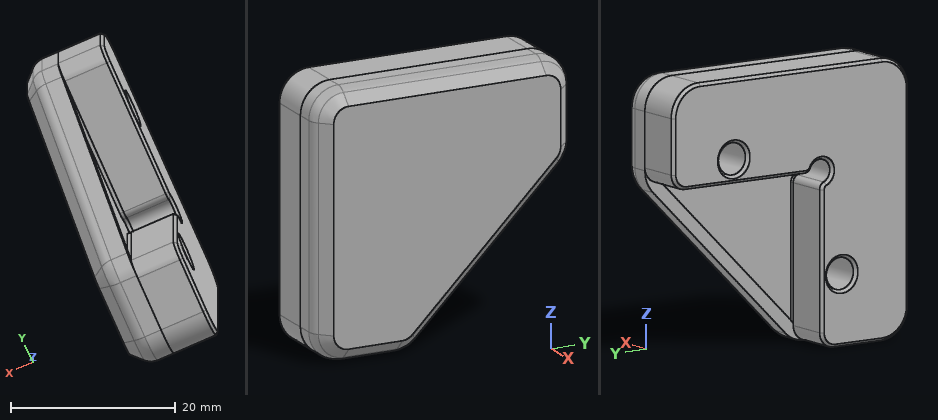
import cadquery as cq
import math

side = 35.0
arm_width = 13.0
frame_thickness = 6.0
total_thickness = 11.0
cover_thickness = total_thickness - frame_thickness

outer_radius = 4.0
arm_tip_radius = 2.0
front_chamfer = 0.4
relief_radius = 1.5
relief_blend_radius = 1.0

hole_diameter = 4.0
hole_edge_offset = 3.0
hole_tip_offset = 9.0

back_chamfer = 2.0
back_blend_radius = 2.0
lip_width = 1.65
pocket_depth = 0.5
selection_margin = 0.01

far = side - arm_width
outer_corners = [(far, arm_width), (-arm_width, arm_width), (-arm_width, -far)]
arm_tips = [(far, 0), (0, -far)]
hole_reach = far - hole_tip_offset
hole_centres = [(hole_reach, hole_edge_offset), (-hole_edge_offset, -hole_reach)]


def prism(points, start, thickness):
    """Extrude a (Y, Z) outline along +X from the plane X = start."""
    return cq.Workplane("YZ", origin=(start, 0, 0)).polyline(points).close().extrude(thickness)


def round_corners(body, corners, radius):
    """Round the edges along X that pass through the given (Y, Z) corners."""
    for y, z in corners:
        nearest = cq.NearestToPointSelector((body.val().Center().x, y, z))
        body = body.edges("|X").edges(nearest).fillet(radius)
    return body


def make_frame_outline():
    """L-shaped plate with rounded corners and a round relief in the inner corner."""
    y_tip, z_tip = arm_tips
    plate = prism([*outer_corners, z_tip, (0, 0), y_tip], 0, frame_thickness)
    plate = round_corners(plate, outer_corners, outer_radius)
    plate = round_corners(plate, arm_tips, arm_tip_radius)
    relief = cq.Workplane("YZ").circle(relief_radius).extrude(frame_thickness)
    plate = plate.cut(relief)
    relief_corners = [(relief_radius, 0), (0, -relief_radius)]
    return round_corners(plate, relief_corners, relief_blend_radius)


def make_frame():
    """L-shaped plate with two through holes, chamfered all round on the front face."""
    frame = make_frame_outline()
    holes = cq.Workplane("YZ").pushPoints(hole_centres).circle(hole_diameter / 2).extrude(frame_thickness)
    return frame.cut(holes).faces("<X").edges().chamfer(front_chamfer)


def make_pocket():
    """Shallow recess filling the opening of the L and its relief, up to the lip on the diagonal."""
    reach = far - lip_width * math.sqrt(2)
    overlap = relief_radius
    triangle = [(-overlap, overlap), (reach + overlap, overlap), (-overlap, -reach - overlap)]
    opening = prism(triangle, 0, frame_thickness).cut(make_frame_outline())
    return opening.translate((pocket_depth, 0, 0))


def make_cover():
    """Five-sided back plate that closes the L along its diagonal."""
    corners = [*outer_corners, arm_tips[1], arm_tips[0]]
    cover = prism(corners, frame_thickness, cover_thickness)
    cover = round_corners(cover, corners, outer_radius)
    cover = cover.faces(">X").edges().chamfer(back_chamfer)
    chamfer_start = total_thickness - back_chamfer
    rim = cq.selectors.BoxSelector(
        (chamfer_start - selection_margin, -side, -side),
        (chamfer_start + selection_margin, side, side),
    )
    cover = cover.edges(rim).fillet(back_blend_radius)
    return cover.cut(make_pocket())


frame = make_frame()
cover = make_cover()
result = cq.Compound.makeCompound([frame.val(), cover.val()])